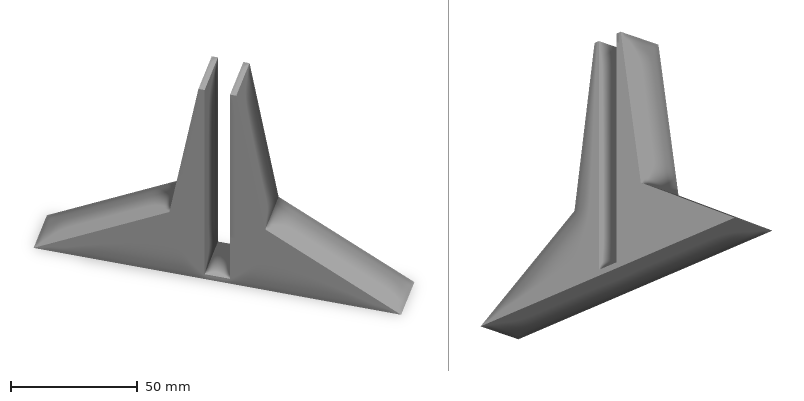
import cadquery as cq

base_width = 150.0
depth = 20.0
height = 100.0

shoulder_width = 39.2
shoulder_height = 32.1
tip_width = 15.5

slot_width = 10.4
floor_thickness = 2.5

right_outline = [
    (base_width / 2, 0),
    (shoulder_width / 2, shoulder_height),
    (tip_width / 2, height),
    (slot_width / 2, height),
    (slot_width / 2, floor_thickness),
]
left_outline = [(-x, z) for x, z in reversed(right_outline)]

result = (
    cq.Workplane("XZ")
    .polyline(right_outline + left_outline)
    .close()
    .extrude(depth / 2, both=True)
)